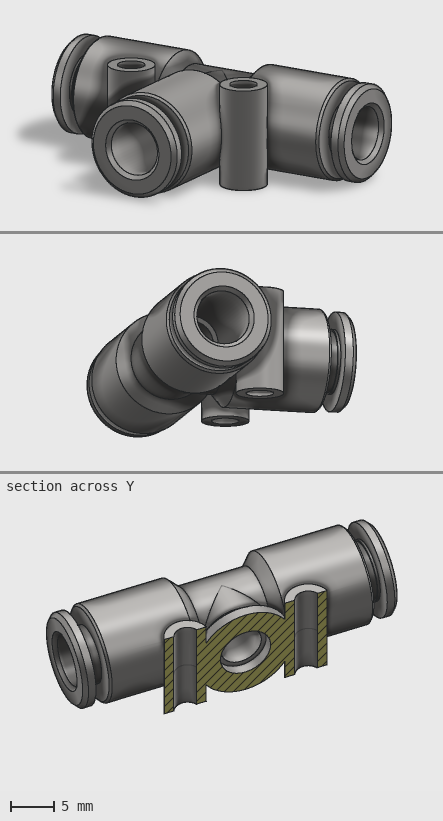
import cadquery as cq

reach = 19.8
sleeve_radius = 6.0
sleeve_end = 16.67
sleeve_chamfer = 0.28
shoulder = 5.65
waist_radius = 4.6

flange_radius = 5.8
flange_thickness = 1.45
flange_chamfer = 0.5
neck_radius = 3.55
root_radius = 3.75
root_length = 0.3

tube_radius = 3.13
mouth_radius = 3.6
tube_stop = shoulder
passage_radius = 2.55

eyelet_radius = 2.752
eyelet_hole_radius = 1.6
eyelet_offset = 7.6

DIRECTIONS = {"left": 90, "branch": 180, "right": 270}


def revolve_port(points, angle):
    """Revolve a (radius, distance from centre) outline about +Y, then turn it about Z."""
    solid = cq.Workplane("XY").polyline(points).close().revolve(360, (0, 0), (0, 1))
    return solid.rotate((0, 0, 0), (0, 0, 1), angle)


def port_body(angle):
    flange_back = reach - flange_thickness
    cone_length = sleeve_radius - waist_radius
    outline = [
        (0, 0),
        (waist_radius, 0),
        (waist_radius, shoulder - cone_length),
        (sleeve_radius, shoulder),
        (sleeve_radius, sleeve_end - sleeve_chamfer),
        (sleeve_radius - sleeve_chamfer, sleeve_end),
        (neck_radius, sleeve_end),
        (neck_radius, flange_back - root_length),
        (root_radius, flange_back - root_length),
        (root_radius, flange_back),
        (flange_radius, flange_back),
        (flange_radius, reach - flange_chamfer),
        (flange_radius - flange_chamfer, reach),
        (0, reach),
    ]
    return revolve_port(outline, angle)


def port_bore(angle):
    mouth_chamfer = mouth_radius - tube_radius
    outline = [
        (0, 0),
        (passage_radius, 0),
        (passage_radius, tube_stop),
        (tube_radius, tube_stop),
        (tube_radius, reach - mouth_chamfer),
        (mouth_radius, reach),
        (0, reach),
    ]
    return revolve_port(outline, angle)


def eyelet_cylinders(radius):
    centres = [(-eyelet_offset, -eyelet_offset), (eyelet_offset, -eyelet_offset)]
    return cq.Workplane("XY").pushPoints(centres).circle(radius).extrude(sleeve_radius, both=True)


result = eyelet_cylinders(eyelet_radius)
for direction in DIRECTIONS.values():
    result = result.union(port_body(direction))
for direction in DIRECTIONS.values():
    result = result.cut(port_bore(direction))
result = result.cut(eyelet_cylinders(eyelet_hole_radius))